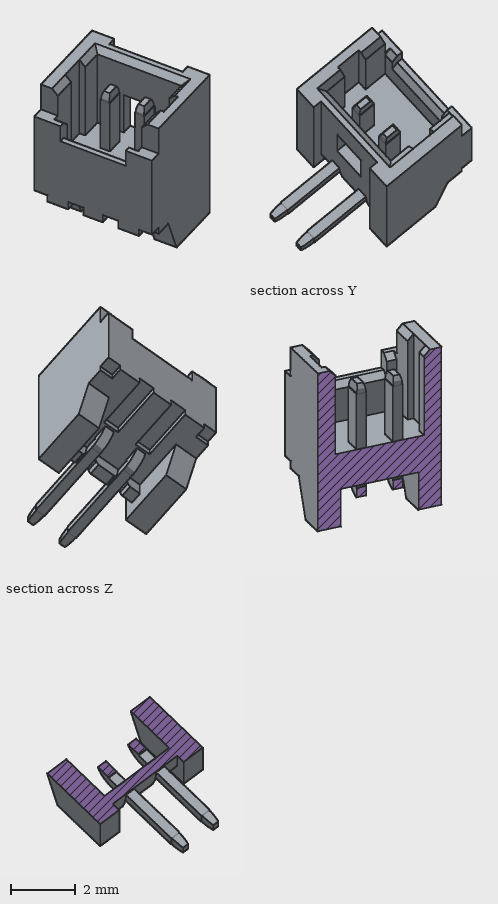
import cadquery as cq
import math


width = 4.25
depth = 3.5
height = 5.5

front_wall = 0.405
front_wall_top = 4.5
notch_width = 2.355
notch_bottom = 3.905

back_recess = 0.3
back_inner = 2.795
back_outer = depth - back_recess
back_wall_bottom = 0.7

cavity_width = 3.03
cavity_floor = 2.565
cavity_chamfer = 0.21
key_slot_start = 1.205
key_slot_end = 2.06
key_slot_left = cavity_chamfer
key_slot_right = 0.32

window_width = 1.125
window_top = 4.06

foot_width = 0.8
underside = 1.3
foot_toe = 1.49
foot_slope_top = 0.99
corner_relief_width = 0.47
corner_relief_top = 1.55
pin_relief_width = 0.555
pin_relief_top = 1.595

pin_pitch = 1.245
pin_width = 0.34
pin_front = 1.775
pin_back = 2.37
pin_top = 4.79
tip_step = 0.02
pin_tip_length = 0.3
pin_tip_inset_x = 0.065
pin_tip_inset_y = 0.1
leg_bottom = 0.87
leg_top = 1.23
leg_end = 5.8
leg_tip_length = 0.49
leg_tip_inset_x = 0.065
leg_tip_inset_z = 0.04
bend_radius = 0.755

slot_mouth_width = 0.625
slot_throat_width = 0.44
slot_throat_height = 0.81
slot_end_height = 1.1

pin_positions = (-pin_pitch / 2, pin_pitch / 2)


def box(x_start, x_end, y_start, y_end, z_start, z_end):
    """Box between two corner coordinates on each axis."""
    size = (x_end - x_start, y_end - y_start, z_end - z_start)
    return cq.Workplane("XY").box(*size, centered=False).translate((x_start, y_start, z_start))


def centered_box(x_width, y_start, y_end, z_start, z_end):
    """Box symmetric about the YZ plane."""
    return box(-x_width / 2, x_width / 2, y_start, y_end, z_start, z_end)


def outer_block():
    """Side outline of the housing with the gap between the feet removed."""
    side_outline = [
        (depth, 0),
        (foot_toe, 0),
        (foot_slope_top, underside),
        (0, underside),
        (0, front_wall_top),
        (front_wall, front_wall_top),
        (front_wall, height),
        (depth, height),
    ]
    block = cq.Workplane("YZ").polyline(side_outline).close().extrude(width / 2, both=True)
    gap = width - 2 * foot_width
    block = block.cut(centered_box(gap, 0, back_inner, 0, underside))
    block = block.cut(centered_box(gap, back_inner, depth, 0, back_wall_bottom))
    return block.cut(centered_box(gap, back_outer, depth, 0, height))


def cavity():
    """Mating cavity with key slots and bevelled rims."""
    half = cavity_width / 2
    bevel_base = height - cavity_chamfer
    hollow = centered_box(cavity_width, front_wall, back_inner, cavity_floor, height)
    slot_left = -half - key_slot_left
    slot_right = half + key_slot_right
    key_slots = box(slot_left, slot_right, key_slot_start, key_slot_end, cavity_floor, height)
    side_bevel = [
        (-half, bevel_base),
        (half, bevel_base),
        (half + cavity_chamfer, height),
        (-half - cavity_chamfer, height),
    ]
    side_wedge = cq.Workplane("XZ").polyline(side_bevel).close().extrude(-depth)
    back_bevel = [
        (front_wall, bevel_base),
        (back_inner, bevel_base),
        (back_inner + cavity_chamfer, height),
        (front_wall, height),
    ]
    back_wedge = cq.Workplane("YZ").polyline(back_bevel).close().extrude(width / 2, both=True)
    bevel = side_wedge.intersect(back_wedge)
    return hollow.union(key_slots).union(bevel)


def front_bevel(rim, x_width):
    """Bevel on the inner edge of the front wall at the given rim height."""
    profile = [
        (front_wall, rim - cavity_chamfer),
        (front_wall, rim),
        (front_wall - cavity_chamfer, rim),
    ]
    return cq.Workplane("YZ").polyline(profile).close().extrude(x_width / 2, both=True)


def leg_slot(x):
    """Flared slot from the lower edge of the back wall up around one leg."""
    profile = [
        (x - slot_mouth_width / 2, back_wall_bottom),
        (x + slot_mouth_width / 2, back_wall_bottom),
        (x + slot_throat_width / 2, slot_throat_height),
        (x + pin_width / 2, slot_end_height),
        (x - pin_width / 2, slot_end_height),
        (x - slot_throat_width / 2, slot_throat_height),
    ]
    slot = cq.Workplane("XZ").polyline(profile).close().extrude(-depth)
    return slot.intersect(centered_box(width, back_inner, back_outer, 0, height))


def tapered_slab(plane, start, end, half_size, tip_length, tip_inset, step=0):
    """Slab along the local y axis whose sides step in and then curve inwards to its end."""
    shoulder = end - tip_length
    shoulder_half = half_size - step
    tip_half = half_size - tip_inset
    curve_inset = shoulder_half - tip_half
    radius = (tip_length**2 + curve_inset**2) / (2 * curve_inset)
    mid_length = tip_length / 2
    mid_half = shoulder_half - radius + math.sqrt(radius**2 - mid_length**2)
    shaft = (
        cq.Workplane(plane)
        .center(0, (start + shoulder) / 2)
        .rect(2 * half_size, shoulder - start)
        .extrude(height, both=True)
    )
    tip = (
        cq.Workplane(plane)
        .moveTo(-shoulder_half, shoulder)
        .lineTo(shoulder_half, shoulder)
        .threePointArc((mid_half, shoulder + mid_length), (tip_half, end))
        .lineTo(-tip_half, end)
        .threePointArc((-mid_half, shoulder + mid_length), (-shoulder_half, shoulder))
        .close()
        .extrude(height, both=True)
    )
    return shaft.union(tip)


def contact_pin(x):
    """L-shaped pin: upright contact, rounded bend and leg leaving through the back."""
    half_width = pin_width / 2
    half_depth = (pin_back - pin_front) / 2
    half_leg = (leg_top - leg_bottom) / 2

    wide = tapered_slab("XZ", leg_bottom, pin_top, half_width, pin_tip_length, pin_tip_inset_x, tip_step)
    deep = tapered_slab("YZ", leg_bottom, pin_top, half_depth, pin_tip_length, pin_tip_inset_y)
    upright = wide.intersect(deep).translate((0, pin_front + half_depth, 0))

    wide = tapered_slab("XY", pin_front, leg_end, half_width, leg_tip_length, leg_tip_inset_x, tip_step)
    deep = tapered_slab("ZY", pin_front, leg_end, half_leg, leg_tip_length, leg_tip_inset_z)
    leg = wide.intersect(deep).translate((0, 0, leg_bottom + half_leg))

    pin = upright.union(leg)
    return pin.edges("<(0, 1, 1)").fillet(bend_radius).translate((x, 0, 0))


result = outer_block().cut(cavity())

result = result.cut(centered_box(notch_width, 0, front_wall, notch_bottom, height))
result = result.cut(front_bevel(front_wall_top, cavity_width))
result = result.cut(front_bevel(notch_bottom, notch_width))

result = result.cut(centered_box(window_width, back_inner, back_outer, cavity_floor, window_top))

for side in (-1, 1):
    corner_center = side * (width - corner_relief_width) / 2
    corner = centered_box(corner_relief_width, 0, front_wall, underside, corner_relief_top)
    result = result.cut(corner.translate((corner_center, 0, 0)))

for x in pin_positions:
    pin_relief = centered_box(pin_relief_width, 0, pin_front, underside, pin_relief_top)
    result = result.cut(pin_relief.translate((x, 0, 0)))
    result = result.cut(leg_slot(x))
    result = result.union(contact_pin(x))